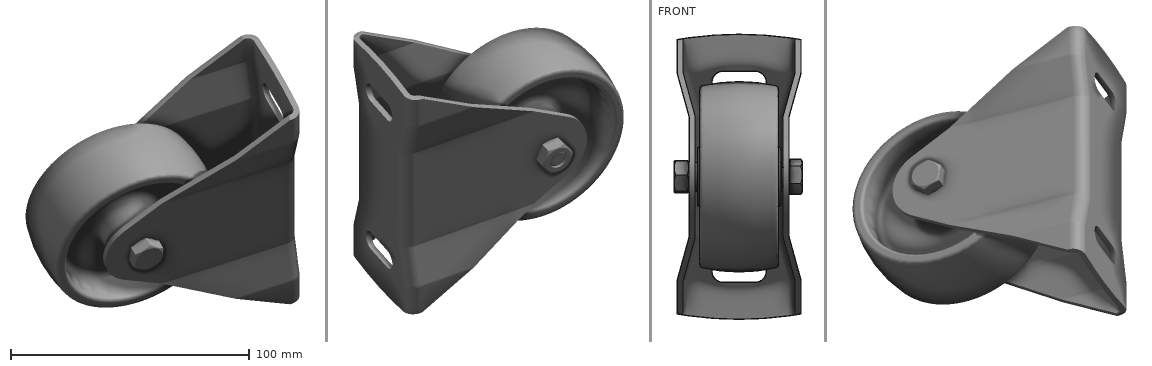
import cadquery as cq
import math


height = 119.8
plate_back = 70.9
sheet = 2.5
flare_half_width = 26.0
neck_half_width = 21.0
neck_half_height = 25.0
flare_half_height = 43.3
flare_bend_radius = 3.5
plate_bend_radius = 5.3
plate_bend_inner_radius = plate_bend_radius - sheet
plate_end_radius = 150.0
leg_tip_radius = 17.5
leg_edge_slope = math.radians(30)

slot_length = 22.6
slot_width = 9.0
slot_offset = 39.8

tread_radius = 40.0
tread_edge_radius = 38.0
rim_half_width = 16.5
lip_radius = 1.5
web_half_thickness = 2.5
web_fillet = 2.9
recess_floor_radius = 31.8
recess_mouth_radius = 33.3
hub_half_width = 17.5
hub_end_radius = 12.5
hub_root_radius = 14.0
hub_edge_radius = 1.0

shaft_radius = 4.0
sleeve_radius = 6.1
sleeve_length = 36.2
hex_across_flats = 13.0
hex_chamfer_angle = math.radians(30)
hex_face_radius = 6.1
washer_face_radius = 6.4
washer_face_height = 0.5
head_height = 5.3
head_turn = 23
nut_height = 6.5
nut_turn = -6
shaft_recess = 0.7
shaft_chamfer = 0.6

neck_inner = neck_half_width - sheet
flare_inner = flare_half_width - sheet
flare_lean = math.atan2(flare_half_width - neck_half_width, flare_half_height - neck_half_height)
inner_corner_shift = sheet * math.tan(flare_lean / 2)
hex_across_corners = hex_across_flats / math.cos(math.pi / 6)
margin = 6.0
tolerance = 0.01


def rod(radius, start_x, end_x):
    """Cylinder on the axle line."""
    return cq.Workplane("YZ", origin=(start_x, 0, 0)).circle(radius).extrude(end_x - start_x)


def revolve_about_axle(profile):
    return profile.close().revolve(360, (0, 0, 0), (1, 0, 0))


def waisted_prism(neck_half, flare_half, neck_z, flare_z, back, bend_radius, rounded_z):
    """Hourglass section run along Y from the back face past the leg tips.

    Its back edges are rounded by bend_radius, and its corners at height rounded_z above and
    below the axle are rounded by flare_bend_radius.
    """
    end_z = height / 2 + margin
    right_side = [(flare_half, -end_z), (flare_half, -flare_z), (neck_half, -neck_z),
                  (neck_half, neck_z), (flare_half, flare_z), (flare_half, end_z)]
    left_side = [(-x, z) for x, z in reversed(right_side)]
    length = back + leg_tip_radius + margin
    prism = (cq.Workplane("XZ", origin=(0, back, 0))
             .polyline(right_side + left_side).close().extrude(length))
    prism = (prism.edges("|Y").filter(lambda e: abs(abs(e.Center().z) - rounded_z) < tolerance)
             .fillet(flare_bend_radius))
    return prism.faces(">Y").edges("not |X").fillet(bend_radius)


def plate_outline():
    """Front outline of the bracket, with its curved top and bottom ends."""
    side_drop = plate_end_radius - math.sqrt(plate_end_radius**2 - flare_half_width**2)
    corner_z = height / 2 - side_drop
    return (cq.Workplane("XZ", origin=(0, plate_back, 0))
            .moveTo(-flare_half_width, corner_z)
            .threePointArc((0, height / 2), (flare_half_width, corner_z))
            .lineTo(flare_half_width, -corner_z)
            .threePointArc((0, -height / 2), (-flare_half_width, -corner_z))
            .close().extrude(plate_back + leg_tip_radius))


def leg_outline():
    """Side outline of the bracket: full-height plate, then legs tapering to a round tip."""
    bend_end = plate_back - plate_bend_radius
    tip_y = -leg_tip_radius * math.sin(leg_edge_slope)
    tip_z = leg_tip_radius * math.cos(leg_edge_slope)
    root_z = tip_z + (bend_end - tip_y) * math.tan(leg_edge_slope)
    full_z = height / 2 + margin
    return (cq.Workplane("YZ", origin=(-flare_half_width, 0, 0))
            .moveTo(plate_back, full_z)
            .lineTo(bend_end, full_z)
            .lineTo(bend_end, root_z)
            .lineTo(tip_y, tip_z)
            .threePointArc((-leg_tip_radius, 0), (tip_y, -tip_z))
            .lineTo(bend_end, -root_z)
            .lineTo(bend_end, -full_z)
            .lineTo(plate_back, -full_z)
            .close().extrude(2 * flare_half_width))


def make_bracket():
    outside = waisted_prism(neck_half_width, flare_half_width, neck_half_height, flare_half_height,
                            plate_back, plate_bend_radius, flare_half_height)
    inner_neck_z = neck_half_height + inner_corner_shift
    inner_flare_z = flare_half_height + inner_corner_shift
    inside = waisted_prism(neck_inner, flare_inner, inner_neck_z, inner_flare_z,
                           plate_back - sheet, plate_bend_inner_radius, inner_neck_z)
    bracket = outside.cut(inside).intersect(plate_outline()).intersect(leg_outline())

    slots = (cq.Workplane("XZ", origin=(0, plate_back, 0))
             .pushPoints([(0, slot_offset), (0, -slot_offset)])
             .slot2D(slot_length, slot_width).extrude(sheet))
    bolt_holes = rod(shaft_radius, -flare_half_width, flare_half_width)
    return bracket.cut(slots).cut(bolt_holes)


def side_recess():
    """Ring-shaped recess between hub and rim on the +X side, rounded at the web."""
    depth = hub_half_width - web_half_thickness
    wall_rate = (recess_mouth_radius - recess_floor_radius) / (rim_half_width - web_half_thickness)
    outer_end_radius = recess_floor_radius + wall_rate * depth
    ring = revolve_about_axle(
        cq.Workplane("XY")
        .moveTo(web_half_thickness, hub_root_radius)
        .lineTo(hub_half_width, hub_end_radius)
        .lineTo(hub_half_width, outer_end_radius)
        .lineTo(web_half_thickness, recess_floor_radius))
    return ring.faces("<X").edges().fillet(web_fillet)


def make_wheel():
    rim = revolve_about_axle(
        cq.Workplane("XY")
        .moveTo(-rim_half_width, 0)
        .lineTo(-rim_half_width, tread_edge_radius)
        .threePointArc((0, tread_radius), (rim_half_width, tread_edge_radius))
        .lineTo(rim_half_width, 0))
    hub = rod(hub_root_radius, -hub_half_width, hub_half_width)
    recess = side_recess()
    wheel = rim.union(hub).cut(recess).cut(recess.mirror("YZ"))
    rim_edges = wheel.edges("%CIRCLE").filter(
        lambda e: e.radius() > recess_floor_radius and abs(abs(e.Center().x) - rim_half_width) < tolerance)
    wheel = rim_edges.fillet(lip_radius)
    wheel = wheel.faces("<X or >X").edges().fillet(hub_edge_radius)
    return wheel.cut(rod(sleeve_radius, -hub_half_width, hub_half_width))


def make_sleeve():
    """Spacer seated against the -X leg, just short of the +X leg."""
    end_x = sleeve_length - neck_inner
    return rod(sleeve_radius, -neck_inner, end_x).cut(rod(shaft_radius, -neck_inner, end_x))


def hex_block(start_x, thickness, turn):
    block = (cq.Workplane("YZ", origin=(start_x, 0, 0))
             .polygon(6, hex_across_corners).extrude(thickness))
    return block.rotate((0, 0, 0), (1, 0, 0), turn)


def chamfer_cone(face_x, inward):
    """Cone that trims hexagon corners at face_x; inward is the X direction into the hexagon."""
    corner_radius = hex_across_corners / 2 + margin
    drop = (corner_radius - hex_face_radius) * math.tan(hex_chamfer_angle)
    return revolve_about_axle(
        cq.Workplane("XY")
        .moveTo(face_x, 0)
        .lineTo(face_x, hex_face_radius)
        .lineTo(face_x + inward * drop, corner_radius)
        .lineTo(face_x + inward * (drop + 2 * margin), corner_radius)
        .lineTo(face_x + inward * (drop + 2 * margin), 0))


def make_bolt():
    head_start = neck_half_width + washer_face_height
    head_end = head_start + head_height
    head = hex_block(head_start, head_height, head_turn).intersect(chamfer_cone(head_end, -1))
    washer_face = rod(washer_face_radius, neck_half_width, head_start)
    shaft_end = -neck_half_width - nut_height + shaft_recess
    shaft = rod(shaft_radius, shaft_end, head_start).faces("<X").chamfer(shaft_chamfer)
    return head.union(washer_face).union(shaft)


def make_nut():
    outer_x = -neck_half_width - nut_height
    nut = hex_block(outer_x, nut_height, nut_turn)
    nut = nut.intersect(chamfer_cone(outer_x, 1)).intersect(chamfer_cone(-neck_half_width, -1))
    return nut.cut(rod(shaft_radius, outer_x, -neck_half_width))


bracket = make_bracket()
wheel = make_wheel()
sleeve = make_sleeve()
bolt = make_bolt()
nut = make_nut()

result = cq.Compound.makeCompound([
    bracket.solids().val(),
    wheel.solids().val(),
    sleeve.solids().val(),
    bolt.solids().val(),
    nut.solids().val(),
])